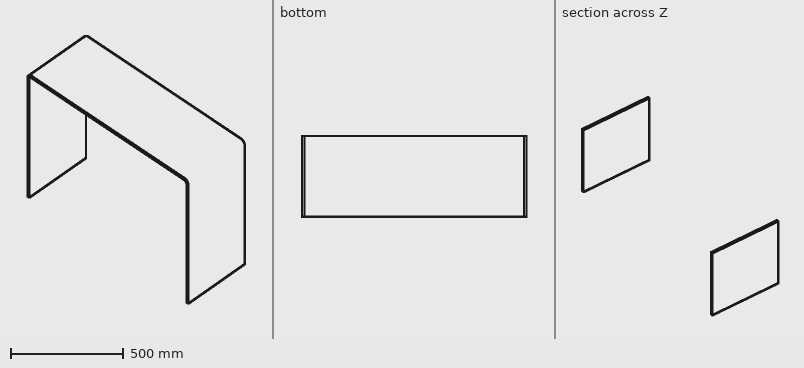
import cadquery as cq

width = 1000.0
depth = 360.0
height = 750.0

thickness = 12.0
inner_bend_radius = 14.0
outer_bend_radius = inner_bend_radius + thickness


def arch_block(block_width, block_height, bend_radius):
    """Block standing on Z = 0 with both upper edges rounded along Y."""
    block = cq.Workplane("XY").box(block_width, depth, block_height, centered=(True, True, False))
    return block.edges("|Y and >Z").fillet(bend_radius)


outer_block = arch_block(width, height, outer_bend_radius)
inner_space = arch_block(width - 2 * thickness, height - thickness, inner_bend_radius)
result = outer_block.cut(inner_space)